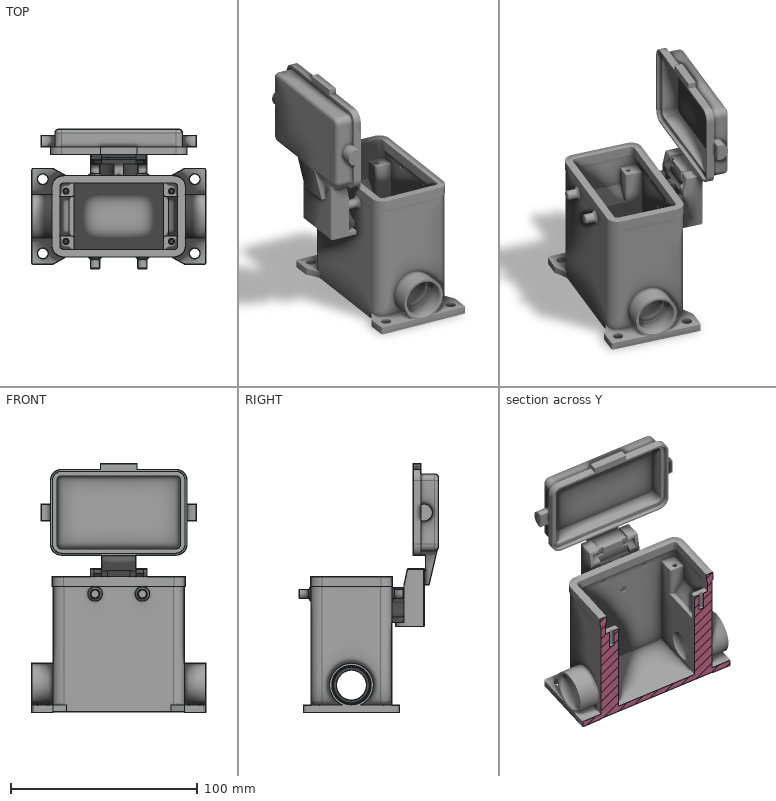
import cadquery as cq
import math


EPS = 0.1

body_x = 70.6
body_y = 43.5
body_radius = 6.0
body_bottom = 0.4
housing_top = 73.0
rim_x = 71.5
rim_y = 43.9
rim_height = 5.4
inside_x = 64.5
inside_y = 39.6
inside_radius = 3.1
mouth_x = 63.1
mouth_y = 35.6
mouth_radius = 1.7
floor_top = 4.4

overall_x = 93.5
foot_y = 51.6
foot_top = 4.0
foot_inner_x = 35.5
taper_end_x = 28.1
foot_radius = 1.0
foot_hole_radius = 2.8
foot_hole_x = 40.8
foot_hole_y = 19.9

entry_z = 14.7
entry_radius = 11.8
entry_bore_radius = 10.0
entry_mouth_chamfer = 0.5
entry_bore_depth = 10.7
entry_seat_radius = 9.6
entry_seat_depth = 12.3
entry_hole_radius = 8.0

end_block_x = 24.0
ramp_x = 26.8
ramp_low_z = 43.6
ramp_high_z = 50.3
pillar_y = 10.5
pillar_top = 60.7
pillar_edge_radius = 1.3
screw_x = 28.4
screw_y = 13.5
screw_radius = 1.2
screw_mouth_radius = 1.6
screw_depth = 10.7

pin_x = 12.7
pin_z = 63.7
pin_radius = 2.5
pin_end_y = 28.2
pin_chamfer = 0.4
pin_base_radius = 3.9
pin_base_height = 1.3
pin_core_radius = 1.5
pin_core_depth = 0.4

rib_x = 5.1
rib_top = 67.1
web_radius = 7.8
plate_top = 51.4
plate_bottom = 48.3
bracket_screw_z = 51.8
bracket_screw_radius = 2.0
bracket_screw_depth = 0.7

hinge_x = 30.5
hinge_back = 39.3
hinge_front = 28.2
hinge_top_front = 30.1
hinge_foot_front = 23.7
hinge_top = 77.5
hinge_bottom = 46.1
hinge_shoulder_z = 68.6
hinge_edge = 0.5
saddle_x = 18.5
saddle_top = 76.0
strip_y = 31.7
strip_bottom = 71.8
panel_x = 12.0
panel_front = 30.5
panel_top = 76.4
notch_outer_x = 13.2
notch_back = 34.8
notch_top = 74.8
notch_back_low = 73.8
notch_front_low = 69.5
lip_face_top = 76.8
lip_face_top_y = 31.2
lip_face_low_y = 30.4

lid_z = 107.5
lid_front = 33.2
flange_back = 37.3
lid_back = 46.8
flange_x = 73.4
flange_height = 46.1
flange_radius = 6.0
cap_inset = 2.4
cap_fillet = 2.1
lip = 1.1
lip_depth = 2.1
pocket_inset = 3.5
pocket_radius = 2.5
pocket_floor = 44.4
tab_x = 19.8
overall_z = 133.8
ear_end_x = 41.7
ear_y = 38.9
ear_z = 107.4
ear_radius = 4.5
arm_bottom = 68.6
arm_bottom_back = 41.7
arm_front = 39.7
arm_root_back = 46.0
arm_hook = 38.1


def block(x0, x1, y0, y1, z0, z1):
    """Box between two corners."""
    return cq.Workplane("XY").box(x1 - x0, y1 - y0, z1 - z0, centered=False).translate((x0, y0, z0))


def upright(size_x, size_y, z0, z1, radius):
    """Rounded rectangular column on the Z axis."""
    outline = cq.Workplane("XY", origin=(0, 0, z0)).rect(size_x, size_y)
    return outline.extrude(z1 - z0).edges("|Z").fillet(radius)


def lid_slab(inset, radius, y0, y1):
    """Rounded slab of the lid between two Y planes, set in from the flange outline."""
    outline = cq.Workplane("XZ", origin=(0, y1, lid_z)).rect(flange_x - 2 * inset, flange_height - 2 * inset)
    return outline.extrude(y1 - y0).edges("|Y").fillet(radius)


def side_profile(points, x0, x1):
    """Outline of (y, z) points extruded from x0 to x1."""
    return cq.Workplane("YZ", origin=(x0, 0, 0)).polyline(points).close().extrude(x1 - x0)


def x_rod(radius, x0, x1, y, z):
    """Round bar along X."""
    return cq.Workplane("YZ", origin=(x0, y, z)).circle(radius).extrude(x1 - x0)


def both_ends(shape):
    """The shape and its mirror image at the other X end."""
    return shape.union(shape.mirror("YZ"))


def make_foot():
    """Mounting foot at +X: a full-depth pad tapering in to the body."""
    half_x = overall_x / 2
    half_y = foot_y / 2
    pad = block(foot_inner_x, half_x, -half_y, half_y, 0, foot_top).edges("|Z and >X").fillet(foot_radius)
    taper = (
        cq.Workplane("XY", origin=(0, 0, body_bottom))
        .polyline([
            (foot_inner_x, half_y),
            (taper_end_x, body_y / 2),
            (taper_end_x, -body_y / 2),
            (foot_inner_x, -half_y),
        ])
        .close()
        .extrude(foot_top - body_bottom)
    )
    holes = (
        cq.Workplane("XY")
        .pushPoints([(foot_hole_x, foot_hole_y), (foot_hole_x, -foot_hole_y)])
        .circle(foot_hole_radius)
        .extrude(foot_top)
    )
    return pad.union(taper).cut(holes)


def make_end_block():
    """Thick end wall at +X with a ramp on top and two screw pillars in the corners."""
    wall_x = inside_x / 2
    half_y = inside_y / 2
    end_block = (
        cq.Workplane("XZ", origin=(0, half_y, 0))
        .polyline([
            (end_block_x, body_bottom),
            (end_block_x, ramp_low_z),
            (ramp_x, ramp_low_z),
            (wall_x, ramp_high_z),
            (wall_x, body_bottom),
        ])
        .close()
        .extrude(inside_y)
    )
    pillar = block(end_block_x, wall_x, pillar_y, half_y, floor_top, pillar_top)
    pillar = pillar.edges("|Z and <X and <Y").fillet(pillar_edge_radius)
    screw_hole = (
        cq.Workplane("XY", origin=(screw_x, screw_y, pillar_top))
        .circle(screw_radius)
        .extrude(-screw_depth)
    )
    countersink_depth = screw_mouth_radius - screw_radius
    countersink = cq.Workplane(cq.Solid.makeCone(
        screw_radius, screw_mouth_radius, countersink_depth,
        cq.Vector(screw_x, screw_y, pillar_top - countersink_depth),
    ))
    pillar = pillar.cut(screw_hole).cut(countersink)
    inside = upright(inside_x + 2 * EPS, inside_y + 2 * EPS, 0, housing_top, inside_radius + EPS)
    return end_block.union(pillar).union(pillar.mirror("XZ")).intersect(inside)


def make_entry_bore():
    """Stepped cable entry at +X, chamfered at the mouth."""
    end_x = overall_x / 2
    bore = x_rod(entry_bore_radius, end_x - entry_bore_depth, end_x, 0, entry_z)
    seat = x_rod(entry_seat_radius, end_x - entry_seat_depth, end_x, 0, entry_z)
    hole = x_rod(entry_hole_radius, 0, end_x, 0, entry_z)
    mouth = cq.Workplane(cq.Solid.makeCone(
        entry_bore_radius + entry_mouth_chamfer, entry_bore_radius, entry_mouth_chamfer,
        cq.Vector(end_x, 0, entry_z), cq.Vector(-1, 0, 0),
    ))
    return bore.union(seat).union(hole).union(mouth)


def make_housing():
    """Body with its rim, feet, cavity, end blocks and cable entries."""
    body = upright(body_x, body_y, body_bottom, housing_top, body_radius)
    rim = upright(rim_x, rim_y, housing_top - rim_height, housing_top, body_radius)
    entry = x_rod(entry_radius, body_x / 2 - EPS, overall_x / 2, 0, entry_z)
    entry = entry.cut(block(0, overall_x, -foot_y, foot_y, -foot_top, 0))
    cavity = upright(inside_x, inside_y, floor_top, housing_top - rim_height, inside_radius)
    mouth = upright(mouth_x, mouth_y, floor_top, housing_top, mouth_radius)
    housing = body.union(rim).union(both_ends(make_foot())).union(both_ends(entry))
    housing = housing.cut(cavity).cut(mouth).union(both_ends(make_end_block()))
    return housing.cut(both_ends(make_entry_bore()))


def make_pin():
    """Latch pin at +X on the front wall, with a conical base."""
    wall_y = -body_y / 2
    length = pin_end_y + wall_y
    outward = cq.Vector(0, -1, 0)
    pin = (
        cq.Workplane("XZ", origin=(pin_x, wall_y + EPS, pin_z))
        .circle(pin_radius)
        .extrude(length + EPS)
        .faces("<Y")
        .chamfer(pin_chamfer)
    )
    base = cq.Solid.makeCone(
        pin_base_radius, pin_radius, pin_base_height, cq.Vector(pin_x, wall_y, pin_z), outward
    )
    return pin.union(cq.Workplane(base))


def make_pin_core():
    """Shallow blind recess on the cavity wall behind a front latch pin."""
    return (
        cq.Workplane("XZ", origin=(pin_x, -inside_y / 2, pin_z))
        .circle(pin_core_radius)
        .extrude(pin_core_depth)
    )


def make_bracket():
    """Inverted T behind the housing: rib blended into a plate by two round webs."""
    half_rib = rib_x / 2
    half_plate = half_rib + web_radius
    diagonal = web_radius * (1 - math.sqrt(0.5))
    arc_mid = (half_rib + diagonal, plate_top + diagonal)
    back_y = hinge_front + EPS
    return (
        cq.Workplane("XZ", origin=(0, back_y, 0))
        .moveTo(half_plate, plate_bottom)
        .lineTo(half_plate, plate_top)
        .threePointArc(arc_mid, (half_rib, plate_top + web_radius))
        .lineTo(half_rib, rib_top)
        .lineTo(-half_rib, rib_top)
        .lineTo(-half_rib, plate_top + web_radius)
        .threePointArc((-arc_mid[0], arc_mid[1]), (-half_plate, plate_top))
        .lineTo(-half_plate, plate_bottom)
        .close()
        .extrude(back_y - body_y / 2 + EPS)
    )


def make_bracket_screw_hole():
    """Shallow screw recess on the cavity wall in front of the bracket."""
    return (
        cq.Workplane("XZ", origin=(0, inside_y / 2 + bracket_screw_depth, bracket_screw_z))
        .circle(bracket_screw_radius)
        .extrude(bracket_screw_depth)
    )


def make_hinge_block():
    """Block behind the bracket that carries the lid arm."""
    half_x = hinge_x / 2
    half_saddle = saddle_x / 2
    hinge = side_profile([
        (hinge_back, hinge_bottom),
        (hinge_back, hinge_top),
        (hinge_top_front, hinge_top),
        (hinge_front, hinge_shoulder_z),
        (hinge_front, plate_bottom),
        (hinge_foot_front, plate_bottom),
        (hinge_foot_front, hinge_bottom),
    ], -half_x, half_x)
    hinge = hinge.faces(">Y or >Z").edges().chamfer(hinge_edge)
    hinge = hinge.cut(block(-half_saddle, half_saddle, 0, lid_back, saddle_top, hinge_top))
    hinge = hinge.cut(block(-half_saddle, half_saddle, 0, panel_front, rib_top, hinge_top))
    recess = block(panel_x / 2, half_saddle, panel_front, strip_y, strip_bottom, hinge_top)
    hinge = hinge.cut(both_ends(recess))
    hinge = hinge.union(block(-panel_x / 2, panel_x / 2, panel_front, strip_y, saddle_top - EPS, panel_top))
    notch = side_profile([
        (lip_face_top_y, lip_face_top),
        (lip_face_low_y, notch_top),
        (notch_back, notch_top),
        (notch_back, notch_back_low),
        (hinge_front, notch_front_low),
        (hinge_front, lip_face_top),
    ], half_saddle, notch_outer_x)
    return hinge.cut(both_ends(notch))


def make_ear():
    """Half-round ear on the +X end of the lid."""
    root_x = flange_x / 2 - cap_inset - EPS
    ear = x_rod(ear_radius, root_x, ear_end_x, ear_y, ear_z)
    below = block(0, overall_x, 0, flange_back, lid_z - flange_height, lid_z + flange_height)
    return ear.cut(below)


def make_lid_arm():
    """Tapered arm from the bottom of the lid cap down into the hinge block."""
    flange_bottom = lid_z - flange_height / 2
    cap_bottom = flange_bottom + cap_inset
    root_top = cap_bottom + 2 * EPS
    return side_profile([
        (arm_root_back - cap_fillet, cap_bottom + cap_fillet),
        (arm_root_back, cap_bottom),
        (arm_bottom_back, arm_bottom),
        (arm_hook, arm_bottom),
        (arm_hook, saddle_top),
        (arm_front, saddle_top),
        (arm_front, flange_bottom),
        (flange_back, flange_bottom),
        (flange_back, root_top),
    ], -saddle_x / 2, saddle_x / 2)


def make_lid():
    """Open lid standing upright above the hinge, hollow side to the front."""
    cap = lid_slab(cap_inset, flange_radius - cap_inset, lid_front, lid_back)
    cap = cap.faces(">Y").edges().fillet(cap_fillet)
    flange = lid_slab(0, flange_radius, lid_front, flange_back)
    tab = block(-tab_x / 2, tab_x / 2, lid_front, flange_back, lid_z + flange_height / 2 - lip, overall_z)
    lid = cap.union(flange).union(tab).union(both_ends(make_ear())).union(make_lid_arm())
    lid = lid.cut(lid_slab(lip, flange_radius - lip, lid_front, lid_front + lip_depth))
    return lid.cut(lid_slab(pocket_inset, pocket_radius, lid_front, pocket_floor))


pins = both_ends(make_pin())
pin_cores = both_ends(make_pin_core())

result = make_housing().union(pins).union(pins.mirror("XZ"))
result = result.union(make_bracket()).union(make_hinge_block()).union(make_lid())
result = result.cut(pin_cores).cut(pin_cores.mirror("XZ")).cut(make_bracket_screw_hole())